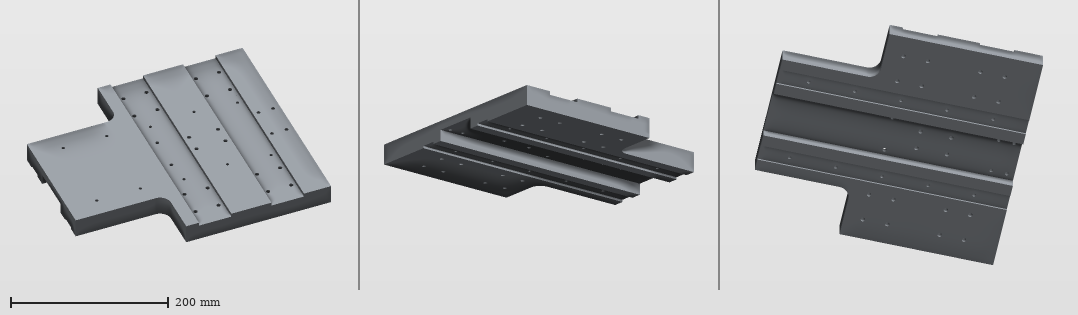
import cadquery as cq

bed_width = 290.0
length = 325.0
thickness = 27.0
bed_length = 200.0
stem_width = 160.0
corner_radius = 15.0
rear_y = length / 2
front_y = -length / 2
shoulder_y = rear_y - bed_length

slot_width = 45.0
slot_depth = 5.0
slot_pitch = 100.0
rear_slot_y = rear_y - 59.8
slot_centres = [rear_slot_y, rear_slot_y - slot_pitch]

channel_width = 60.0
channel_depth = 15.0
groove_width = 20.0
groove_depth = 3.0
groove_offset = 55.0

slot_hole_diameter = 5.5
slot_hole_group_x = 100.0
slot_hole_spacing_x = 36.0
slot_hole_spacing_y = 32.0

land_hole_diameter = 5.5
land_hole_spacing_x = 24.0
land_hole_spacing_y = 40.0
land_hole_y = sum(slot_centres) / 2

clamp_hole_diameter = 5.0
rear_hole_spacing_x = 44.0
rear_hole_spacing_y = 20.0
rear_hole_y = rear_y - 19.8
front_pair_spacing_x = 46.0
front_pair_y = rear_y - 169.0

groove_hole_diameter = 4.2
groove_hole_count = 5
groove_hole_pitch = 60.0
first_groove_hole_y = rear_y - 45.0


def rectangle_points(centre_x, centre_y, spacing_x, spacing_y):
    """Four corners of a rectangle of hole centres."""
    return [
        (centre_x + side_x * spacing_x / 2, centre_y + side_y * spacing_y / 2)
        for side_x in (-1, 1)
        for side_y in (-1, 1)
    ]


def make_plate():
    """T-shaped plate with rounded inner corners, bottom face at Z = 0."""
    bed = cq.Workplane("XY").box(bed_width, bed_length, thickness, centered=(True, False, False))
    stem = cq.Workplane("XY").box(stem_width, length, thickness, centered=(True, False, False))
    plate = bed.translate((0, shoulder_y, 0)).union(stem.translate((0, front_y, 0)))
    inner_corners = cq.selectors.BoxSelector(
        (-bed_width / 2 + corner_radius, shoulder_y - corner_radius, 0),
        (bed_width / 2 - corner_radius, shoulder_y + corner_radius, thickness),
    )
    return plate.edges("|Z").edges(inner_corners).fillet(corner_radius)


def cut_top_slot(plate, centre_y):
    slot = cq.Workplane("XY").box(bed_width, slot_width, slot_depth, centered=(True, True, False))
    return plate.cut(slot.translate((0, centre_y, thickness - slot_depth)))


def cut_bottom_channel(plate, centre_x, width, depth):
    channel = cq.Workplane("XY").box(width, length, depth, centered=(True, True, False))
    return plate.cut(channel.translate((centre_x, 0, 0)))


def drill_through(plate, points, diameter):
    drills = cq.Workplane("XY").pushPoints(points).circle(diameter / 2).extrude(thickness)
    return plate.cut(drills)


result = make_plate()

for slot_y in slot_centres:
    result = cut_top_slot(result, slot_y)

result = cut_bottom_channel(result, 0, channel_width, channel_depth)
for side in (-1, 1):
    result = cut_bottom_channel(result, side * groove_offset, groove_width, groove_depth)

for slot_y in slot_centres:
    for side in (-1, 1):
        slot_holes = rectangle_points(
            side * slot_hole_group_x, slot_y, slot_hole_spacing_x, slot_hole_spacing_y
        )
        result = drill_through(result, slot_holes, slot_hole_diameter)

land_holes = rectangle_points(0, land_hole_y, land_hole_spacing_x, land_hole_spacing_y)
result = drill_through(result, land_holes, land_hole_diameter)

rear_holes = rectangle_points(0, rear_hole_y, rear_hole_spacing_x, rear_hole_spacing_y)
front_pair = [(side * front_pair_spacing_x / 2, front_pair_y) for side in (-1, 1)]
result = drill_through(result, rear_holes + front_pair, clamp_hole_diameter)

groove_holes = [
    (side * groove_offset, first_groove_hole_y - index * groove_hole_pitch)
    for side in (-1, 1)
    for index in range(groove_hole_count)
]
result = drill_through(result, groove_holes, groove_hole_diameter)